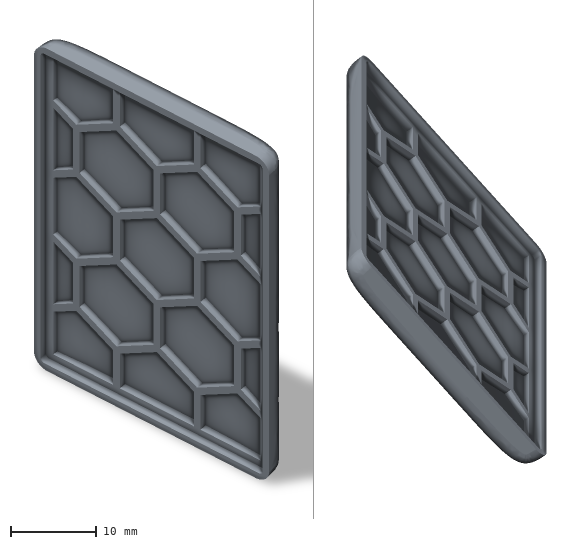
import cadquery as cq
import math

WIDTH = 35.0
THICKNESS = 4.0
HEIGHT = 50.0

FLAT_HALF_WIDTH = 5.0
SIDE_PULL_Y = 4.1
BACK_PULL_X = 16.0
END_FILLET = 2.0

RIM = 1.0
RECESS_DEPTH = 1.0
RECESS_CORNER = 0.5

LEDGE = 1.0
SKIN = 2.0
FLOOR_PULL_X = 12.0
CREASE_X = 15.35
CREASE_Y = 1.7

CELL_FLATS = 11.0
RIB = 1.0
ROWS = range(-2, 3)
COLUMNS = range(-2, 3)

SIDE_X = WIDTH / 2
FLOOR_Y = THICKNESS - SKIN
FLOOR_SIDE_X = SIDE_X - SKIN
WINDOW_MARGIN = RIM + LEDGE
CELL_PITCH = CELL_FLATS + RIB
ROW_PITCH = CELL_PITCH * math.sqrt(3) / 2
CELL_CORNER_RADIUS = CELL_FLATS / 2 / math.cos(math.pi / 6)


def mirrored(points):
    """The points reflected across X = 0, in reverse order to keep the outline running."""
    return [(-x, y) for x, y in reversed(points)]


def full_height_section():
    """Workplane for XY sections that are extruded over the whole height."""
    return cq.Workplane("XY", origin=(0, 0, -HEIGHT / 2))


def front_block(width, height, depth):
    """Centred block reaching from the front face to the given depth."""
    return cq.Workplane("XY").box(width, depth, height, centered=(True, False, True))


def outer_body():
    """Domed slab with rounded ends; the front edges stay sharp."""
    shoulder = [
        (SIDE_X, 0),
        (SIDE_X, SIDE_PULL_Y),
        (BACK_PULL_X, THICKNESS),
        (FLAT_HALF_WIDTH, THICKNESS),
    ]
    slab = (
        full_height_section()
        .moveTo(-SIDE_X, 0)
        .lineTo(SIDE_X, 0)
        .bezier(shoulder)
        .lineTo(-FLAT_HALF_WIDTH, THICKNESS)
        .bezier(mirrored(shoulder))
        .close()
        .extrude(HEIGHT)
    )
    return slab.faces("|Z").edges("not(<Y)").fillet(END_FILLET)


def front_recess():
    recess = front_block(WIDTH - 2 * RIM, HEIGHT - 2 * RIM, RECESS_DEPTH)
    return recess.edges("|Y").fillet(RECESS_CORNER)


def pocket_space():
    """Room for the pockets: the ledge outline, closed by the curved floor."""
    floor_curve = [(CREASE_X, CREASE_Y), (FLOOR_PULL_X, FLOOR_Y), (FLAT_HALF_WIDTH, FLOOR_Y)]
    under_skin = (
        full_height_section()
        .moveTo(-FLOOR_SIDE_X, 0)
        .lineTo(FLOOR_SIDE_X, 0)
        .lineTo(CREASE_X, CREASE_Y)
        .bezier(floor_curve)
        .lineTo(-FLAT_HALF_WIDTH, FLOOR_Y)
        .bezier(mirrored(floor_curve))
        .close()
        .extrude(HEIGHT)
    )
    window = front_block(WIDTH - 2 * WINDOW_MARGIN, HEIGHT - 2 * WINDOW_MARGIN, THICKNESS)
    return under_skin.intersect(window)


def honeycomb_cells():
    """Hexagonal prisms, points up, each row shifted half a pitch from the last."""
    centers = [
        (CELL_PITCH * (column + row % 2 / 2), ROW_PITCH * row)
        for row in ROWS
        for column in COLUMNS
    ]
    hexagon = cq.Sketch().regularPolygon(CELL_CORNER_RADIUS, 6)
    return cq.Workplane("XZ").pushPoints(centers).placeSketch(hexagon).extrude(-THICKNESS)


pockets = honeycomb_cells().intersect(pocket_space())
result = outer_body().cut(front_recess()).cut(pockets)